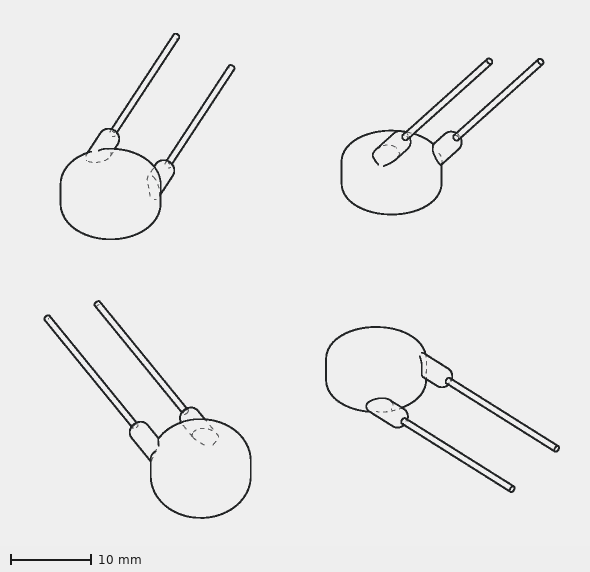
import cadquery as cq

body_diameter = 12.5
body_height = 5.2
edge_radius = 1.0

lead_spacing = 7.5
lead_diameter = 0.8
total_length = 35.5
sleeve_clearance = 0.007
sleeve_diameter = body_height / 2 - sleeve_clearance
sleeve_end_y = 9.2
lead_end_y = total_length - body_diameter / 2


def rod(diameter, end_y, x, z):
    """Round rod along +Y, starting inside the disc at Y = 0."""
    return (
        cq.Workplane("XZ", origin=(x, 0, z))
        .circle(diameter / 2)
        .extrude(-end_y)
    )


def sleeved_lead(x, z):
    """Wire with a round-ended coating sleeve at its root."""
    sleeve = rod(sleeve_diameter, sleeve_end_y, x, z).faces(">Y").edges().fillet(edge_radius)
    return sleeve.union(rod(lead_diameter, lead_end_y, x, z))


body = (
    cq.Workplane("XY")
    .circle(body_diameter / 2)
    .extrude(body_height)
    .edges()
    .fillet(edge_radius)
)

upper_lead = sleeved_lead(-lead_spacing / 2, body_height * 3 / 4)
lower_lead = sleeved_lead(lead_spacing / 2, body_height / 4)

result = body.union(upper_lead).union(lower_lead)